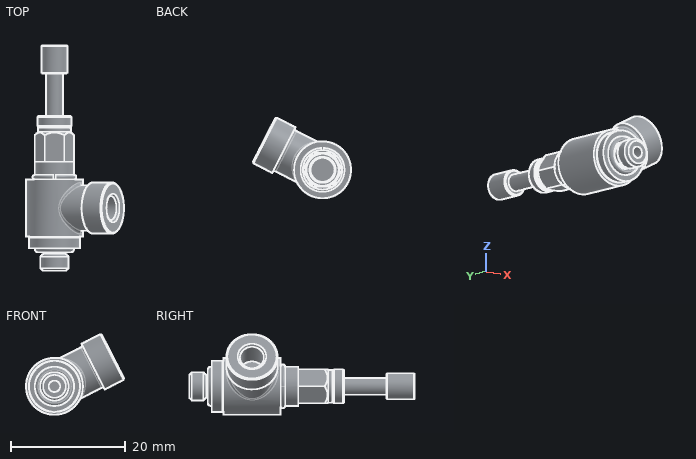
import cadquery as cq
import math


body_dia = 10.0
body_length = 10.0
body_front = -body_length / 2
body_rear = body_length / 2

port_tilt = 27.0
port_reach = 11.49
port_neck_dia = 8.0
port_neck_end = 7.2
port_head_dia = 9.0
port_head_chamfer = 0.2
port_head_fillet = 0.4
port_bore_dia = 4.2
port_bore_mouth_dia = 5.0
port_bore_depth = 6.0
port_root_fillet = 0.5

relief_dia = 8.8
relief_width = 0.2
collar_dia = 9.0
collar_front = -7.05
stud_neck_dia = 3.9
stud_dia = 5.0
stud_chamfer = 0.5
stud_neck_end = -8.0
stud_front = -11.0
stud_bore_dia = 2.0
stud_bore_depth = 3.0

seal_outer_dia = 6.9
seal_wire_dia = 1.1
seal_front = -7.75

sleeve_dia = 6.9
sleeve_rear = 8.1
snap_wire_dia = 0.8
snap_gap = 0.5
hex_flats = 6.0
hex_rear = 13.3

spigot_dia = 5.8
spigot_rear = 14.0
groove_dia = 5.5
groove_width = 0.2
flange_dia = 6.0
flange_rear = 16.1
flange_chamfer = 0.2

stem_dia = 3.0
knob_dia = 4.6
knob_length = 5.0
knob_rear = 28.5
knob_chamfer = 0.2


def cylinder(diameter, start, end):
    """Cylinder on the Y axis between two Y positions."""
    return cq.Workplane("XZ", origin=(0, start, 0)).circle(diameter / 2).extrude(start - end)


def chamfered_cylinder(diameter, start, end, chamfer):
    """Cylinder on the Y axis with both rims chamfered."""
    return cylinder(diameter, start, end).edges("%CIRCLE").chamfer(chamfer)


def wire_ring(centre_radius, wire_dia, centre_y):
    """Ring of round wire around the Y axis, with its seam facing -Y."""
    plane = cq.Plane(origin=(0, centre_y, 0), xDir=(0, -1, 0), normal=(0, 0, 1))
    section = cq.Workplane(plane).center(0, centre_radius).circle(wire_dia / 2)
    return section.revolve(360, (0, -centre_radius), (1, -centre_radius))


def make_body_with_port():
    """Body cylinder with the filleted side port and its blind bore."""
    neck = cq.Workplane("YZ").circle(port_neck_dia / 2).extrude(port_neck_end)
    solid = cylinder(body_dia, body_front, body_rear).union(neck)

    body_radius = body_dia / 2
    neck_radius = port_neck_dia / 2
    root_edges = cq.selectors.BoxSelector(
        (port_root_fillet, -port_root_fillet, -neck_radius),
        (body_radius, port_root_fillet, neck_radius),
    )
    solid = solid.edges(root_edges).fillet(port_root_fillet)

    head_radius = port_head_dia / 2
    bore_radius = port_bore_dia / 2
    mouth_radius = port_bore_mouth_dia / 2
    shoulder = port_neck_end + port_head_fillet
    shoulder_radius = neck_radius + port_head_fillet
    chamfer_radius = head_radius - port_head_chamfer
    arc_share = math.sin(math.pi / 4)
    fillet_middle = (
        port_neck_end + port_head_fillet * arc_share,
        shoulder_radius - port_head_fillet * arc_share,
    )
    head = (
        cq.Workplane("XY")
        .moveTo(port_neck_end, 0)
        .lineTo(port_neck_end, neck_radius)
        .threePointArc(fillet_middle, (shoulder, shoulder_radius))
        .lineTo(shoulder, head_radius)
        .lineTo(port_reach - port_head_chamfer, head_radius)
        .lineTo(port_reach, chamfer_radius)
        .lineTo(port_reach, 0)
        .close()
        .revolve(360, (0, 0), (1, 0))
    )
    bore_floor = port_reach - port_bore_depth
    bore = (
        cq.Workplane("XY")
        .moveTo(bore_floor, 0)
        .lineTo(bore_floor, bore_radius)
        .lineTo(port_reach - (mouth_radius - bore_radius), bore_radius)
        .lineTo(port_reach, mouth_radius)
        .lineTo(port_reach, 0)
        .close()
        .revolve(360, (0, 0), (1, 0))
    )
    return solid.union(head).cut(bore).rotate((0, 0, 0), (0, 1, 0), -port_tilt)


def make_front_end():
    """Collar, sealing ring and the necked, chamfered stud with its blind bore."""
    collar_rear = body_front - relief_width
    seal_centre_y = seal_front + seal_wire_dia / 2
    seal_centre_radius = (seal_outer_dia - seal_wire_dia) / 2
    stud = chamfered_cylinder(stud_dia, stud_front, stud_neck_end, stud_chamfer)
    solid = (
        cylinder(relief_dia, collar_rear, body_front)
        .union(cylinder(collar_dia, collar_front, collar_rear))
        .union(wire_ring(seal_centre_radius, seal_wire_dia, seal_centre_y))
        .union(cylinder(stud_neck_dia, stud_neck_end, collar_front))
        .union(stud)
    )
    return solid.cut(cylinder(stud_bore_dia, stud_front, stud_front + stud_bore_depth))


def make_snap_ring():
    """Wire ring lying on the body's rear face, split at the top."""
    ring = wire_ring(sleeve_dia / 2, snap_wire_dia, body_rear + snap_wire_dia / 2)
    gap = cq.Workplane("XY").center(0, body_rear).rect(snap_gap, 2 * snap_wire_dia).extrude(sleeve_dia)
    return ring.cut(gap)


def make_hexagon():
    """Hexagon with corners on +X and -X and a 45 degree cone on its rear end."""
    corner_dia = hex_flats / math.cos(math.pi / 6)
    prism = (
        cq.Workplane("XZ", origin=(0, sleeve_rear, 0))
        .polygon(6, corner_dia)
        .extrude(sleeve_rear - hex_rear)
    )
    chamfer = (corner_dia - spigot_dia) / 2
    envelope = cylinder(corner_dia, sleeve_rear, hex_rear).faces(">Y").edges().chamfer(chamfer)
    return prism.intersect(envelope)


def make_rear_end():
    """Sleeve, hexagon, grooved flange, stem and knob."""
    flange_front = spigot_rear + groove_width
    knob_front = knob_rear - knob_length
    return (
        cylinder(sleeve_dia, body_rear, sleeve_rear)
        .union(make_hexagon())
        .union(cylinder(spigot_dia, hex_rear, spigot_rear))
        .union(cylinder(groove_dia, spigot_rear, flange_front))
        .union(chamfered_cylinder(flange_dia, flange_front, flange_rear, flange_chamfer))
        .union(cylinder(stem_dia, flange_rear, knob_front))
        .union(chamfered_cylinder(knob_dia, knob_front, knob_rear, knob_chamfer))
    )


result = (
    make_body_with_port()
    .union(make_front_end())
    .union(make_rear_end())
    .union(make_snap_ring())
)